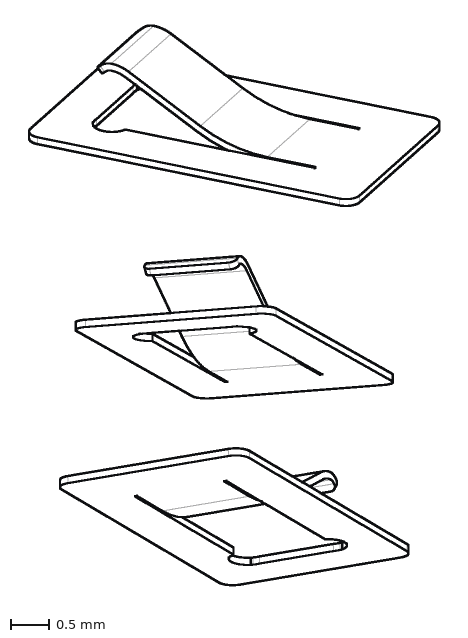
import cadquery as cq
import math

plate_length = 4.8
plate_width = 2.8
thickness = 0.1
plate_corner_radius = 0.2
overall_height = 1.0

tongue_width = 1.3
side_gap = 0.031
window_left = -1.74
window_right = 1.5
relief_x = -1.5
relief_y = 0.6
relief_radius = 0.25

bend_start_x = 0.79
root_bend_radius = 2.065
climb_angle = 29.0
crest_radius = 0.47
hook_radius = 0.18
hook_angle = 40.0
lip_length = 0.11
tip_corner_radius = 0.095

bend_rise = (root_bend_radius + crest_radius) * (1 - math.cos(math.radians(climb_angle)))
climb_length = (overall_height - thickness - bend_rise) / math.sin(math.radians(climb_angle))


def offset_point(point, heading, distance):
    """Move a point square to a heading, given in degrees above the -X direction."""
    angle = math.radians(heading)
    return (point[0] + distance * math.sin(angle), point[1] + distance * math.cos(angle))


def along(point, heading, length):
    """Move a point forward along a heading."""
    angle = math.radians(heading)
    return (point[0] - length * math.cos(angle), point[1] + length * math.sin(angle))


def turn(point, heading, radius, angle):
    """Follow an arc; a positive angle turns upward, a negative one downward."""
    signed_radius = math.copysign(radius, angle)
    center = offset_point(point, heading, signed_radius)
    return offset_point(center, heading + angle, -signed_radius)


def make_plate():
    plate = (
        cq.Workplane("XY")
        .rect(plate_length, plate_width)
        .extrude(thickness)
        .edges("|Z")
        .fillet(plate_corner_radius)
    )
    window = (
        cq.Workplane("XY")
        .center((window_left + window_right) / 2, 0)
        .rect(window_right - window_left, tongue_width + 2 * side_gap)
        .extrude(thickness)
    )
    reliefs = (
        cq.Workplane("XY")
        .pushPoints([(relief_x, -relief_y), (relief_x, relief_y)])
        .circle(relief_radius)
        .extrude(thickness)
    )
    return plate.cut(window).cut(reliefs)


def tongue_face(distance):
    """Return the edges of one face of the sheet, root to tip, offset from its middle line."""
    edges = []
    point = (window_right, thickness / 2)
    heading = 0.0

    def face_point(middle_point, direction):
        x, z = offset_point(middle_point, direction, distance)
        return cq.Vector(x, 0, z)

    def add_straight(length):
        nonlocal point
        end = along(point, heading, length)
        edges.append(cq.Edge.makeLine(face_point(point, heading), face_point(end, heading)))
        point = end

    def add_bend(radius, angle):
        nonlocal point, heading
        middle = turn(point, heading, radius, angle / 2)
        end = turn(point, heading, radius, angle)
        edges.append(
            cq.Edge.makeThreePointArc(
                face_point(point, heading),
                face_point(middle, heading + angle / 2),
                face_point(end, heading + angle),
            )
        )
        point = end
        heading += angle

    add_straight(window_right - bend_start_x)
    add_bend(root_bend_radius, climb_angle)
    add_straight(climb_length)
    add_bend(crest_radius, -climb_angle)
    add_bend(hook_radius, -hook_angle)
    add_straight(lip_length)
    return edges


def make_tongue():
    top = tongue_face(thickness / 2)
    bottom = tongue_face(-thickness / 2)
    root_end = cq.Edge.makeLine(bottom[0].startPoint(), top[0].startPoint())
    tip_end = cq.Edge.makeLine(top[-1].endPoint(), bottom[-1].endPoint())
    outline = cq.Wire.assembleEdges(top + [tip_end] + bottom[::-1] + [root_end])
    sheet = cq.Solid.extrudeLinear(outline, [], cq.Vector(0, tongue_width, 0))
    tongue = cq.Workplane("XY").add(sheet.translate(cq.Vector(0, -tongue_width / 2, 0)))
    tip_corners = tongue.faces("<X").edges("not |Y")
    return tip_corners.fillet(tip_corner_radius)


result = make_plate().union(make_tongue())